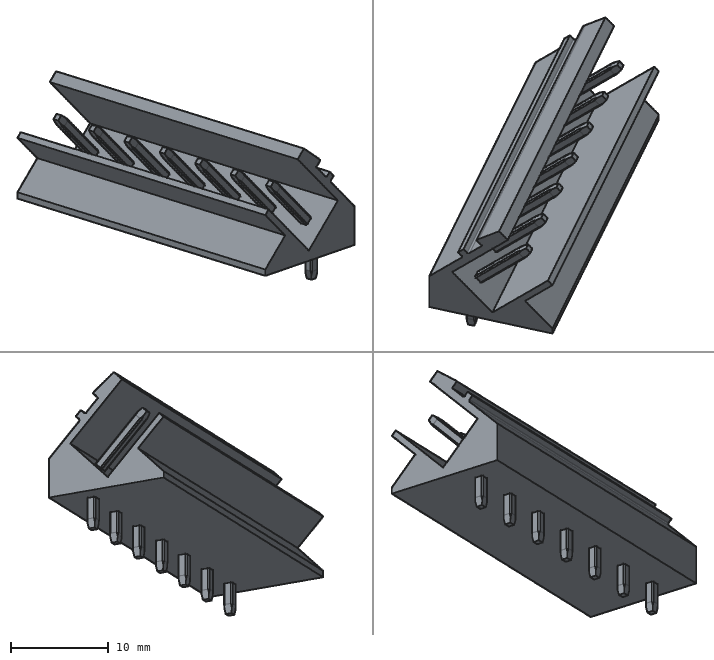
import cadquery as cq
import math


TILT = 45.0
DIAGONAL = math.sqrt(0.5)

LENGTH = 35.0
DEPTH = 13.3
SLOT_CORNER_DEPTH = 6.82
SLOT_CORNER_HEIGHT = 1.12
SLOT_WIDTH = 6.12
FRONT_ARM_THICKNESS = 0.7
TOE_HEIGHT = 0.7
BACK_ARM_THICKNESS = 0.88
BACK_ARM_LENGTH = 8.47

TAB_LENGTH = 3.08
TAB_LAND_LENGTH = 0.3
TAB_END_THICKNESS = 1.33
TAB_ROOT_THICKNESS = 1.7

RIB_START = 2.45
RIB_WIDTH = 0.85
RIB_HEIGHT = 0.7
RIB_ROOT_RADIUS = 0.18

PIN_COUNT = 7
PIN_PITCH = LENGTH / PIN_COUNT
PIN_SIZE = 1.0
PIN_EDGE_CHAMFER = 0.15
PIN_TIP_SIZE = 0.65
PIN_TIP_LENGTH = 1.0
CONTACT_LENGTH = 7.52
SOLDER_LENGTH = 3.25


def tilted(along, across):
    """(Y, Z) of a point: along the arms from the slot floor, across from the front slot wall."""
    depth = SLOT_CORNER_DEPTH + (along - across) * DIAGONAL
    height = SLOT_CORNER_HEIGHT + (along + across) * DIAGONAL
    return (-depth, height)


CONTACT_ACROSS = SLOT_WIDTH / 2
SOLDER_DEPTH = 3.8
BEND_BELOW_FLOOR = (SLOT_CORNER_DEPTH - SOLDER_DEPTH) / DIAGONAL - CONTACT_ACROSS
BEND_Y, BEND_Z = tilted(-BEND_BELOW_FLOOR, CONTACT_ACROSS)


def front_points():
    """Front half of the housing outline, from the underside to the lowest slot corner."""
    front_arm_length = (DEPTH - SLOT_CORNER_DEPTH) / DIAGONAL - FRONT_ARM_THICKNESS
    tip = tilted(front_arm_length, -FRONT_ARM_THICKNESS)
    root_height = (tip[1] + TOE_HEIGHT) / 2
    root_depth = DEPTH - (tip[1] - TOE_HEIGHT) / 2
    return [
        (-DEPTH, 0),
        (-DEPTH, TOE_HEIGHT),
        (-root_depth, root_height),
        tip,
        tilted(front_arm_length, 0),
        tilted(0, 0),
    ]


def back_points():
    """Back half of the housing outline, from the upper slot corner to the back wall."""
    arm_face = SLOT_WIDTH + BACK_ARM_THICKNESS
    tab_start = BACK_ARM_LENGTH - TAB_LENGTH
    rib_end = RIB_START + RIB_WIDTH
    wall_height = SLOT_CORNER_HEIGHT - SLOT_CORNER_DEPTH + arm_face / DIAGONAL
    return [
        tilted(0, SLOT_WIDTH),
        tilted(BACK_ARM_LENGTH, SLOT_WIDTH),
        tilted(BACK_ARM_LENGTH, SLOT_WIDTH + TAB_END_THICKNESS),
        tilted(tab_start + TAB_LAND_LENGTH, SLOT_WIDTH + TAB_ROOT_THICKNESS),
        tilted(tab_start, SLOT_WIDTH + TAB_ROOT_THICKNESS),
        tilted(tab_start, arm_face),
        tilted(rib_end, arm_face),
        tilted(rib_end, arm_face + RIB_HEIGHT),
        tilted(RIB_START, arm_face + RIB_HEIGHT),
        tilted(RIB_START, arm_face),
        (0, wall_height),
        (0, 0),
    ]


def make_leg(length):
    """Upright leg centred on the Z axis, from one pin size below Z = 0 to its tapered tip."""

    def square_bar(top):
        start = cq.Workplane("XY").workplane(offset=-PIN_SIZE)
        return start.rect(PIN_SIZE, PIN_SIZE).extrude(top + PIN_SIZE)

    chamfered_bar = square_bar(length).edges("|Z").chamfer(PIN_EDGE_CHAMFER)
    shank = square_bar(length - PIN_TIP_LENGTH)
    taper = (
        cq.Workplane("XY")
        .workplane(offset=length - PIN_TIP_LENGTH)
        .rect(PIN_SIZE, PIN_SIZE)
        .workplane(offset=PIN_TIP_LENGTH)
        .rect(PIN_TIP_SIZE, PIN_TIP_SIZE)
        .loft()
    )
    return chamfered_bar.intersect(shank.union(taper))


def mitred(leg):
    """Cut an upright leg off at the mitre plane of the bend, which passes through the origin."""
    reach = 4 * PIN_SIZE
    waste = (
        cq.Workplane("XY")
        .box(reach, reach, reach, centered=(True, True, False))
        .translate((0, 0, -reach))
        .rotate((0, 0, 0), (1, 0, 0), TILT / 2)
    )
    return leg.cut(waste)


def make_pin(x):
    """One bent pin: a solder leg pointing down and a contact leg rising along the slot."""
    contact = mitred(make_leg(BEND_BELOW_FLOOR + CONTACT_LENGTH))
    contact = contact.rotate((0, 0, 0), (1, 0, 0), 90 - TILT)
    solder = mitred(make_leg(BEND_Z + SOLDER_LENGTH))
    solder = solder.rotate((0, 0, 0), (1, 0, 0), 180)
    return contact.union(solder).translate((x, BEND_Y, BEND_Z))


def make_housing():
    """Extruded housing with rounded rib roots, before the pin holes are cut."""
    body = (
        cq.Workplane("YZ")
        .polyline(front_points() + back_points())
        .close()
        .extrude(LENGTH / 2, both=True)
    )
    arm_face = SLOT_WIDTH + BACK_ARM_THICKNESS
    for along in (RIB_START, RIB_START + RIB_WIDTH):
        y, z = tilted(along, arm_face)
        root_edge = cq.selectors.NearestToPointSelector((0, y, z))
        body = body.edges(root_edge).fillet(RIB_ROOT_RADIUS)
    return body


first_pin_x = -(PIN_COUNT - 1) / 2 * PIN_PITCH
pins = [make_pin(first_pin_x + i * PIN_PITCH) for i in range(PIN_COUNT)]

housing = make_housing()
for pin in pins:
    housing = housing.cut(pin)

result = cq.Compound.makeCompound([
    *housing.solids().vals(),
    *[pin.solids().val() for pin in pins],
])